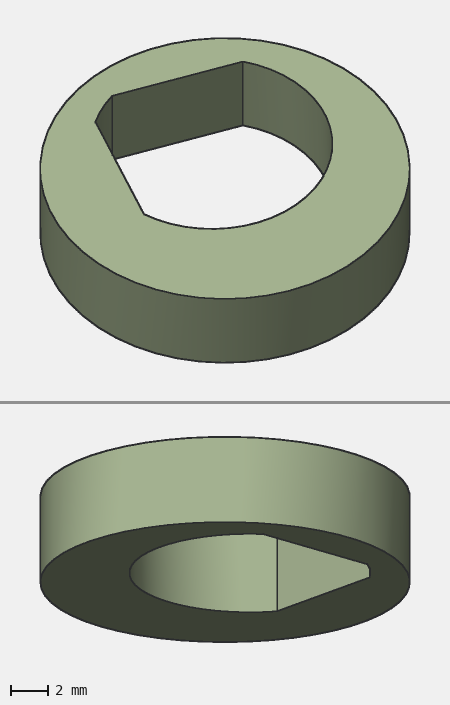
import cadquery as cq

outer_diameter = 19.8
thickness = 4.83

bore_diameter = 12.9
bore_offset_x = -2.0
flat_distance = 5.27


def double_d_bore():
    """Bore cylinder trimmed by the two perpendicular flats."""
    bore_radius = bore_diameter / 2
    cylinder = cq.Workplane("XY").circle(bore_radius).extrude(thickness)
    side = flat_distance + bore_radius
    flats = (
        cq.Workplane("XY")
        .rect(side, side, centered=False)
        .extrude(thickness)
        .translate((-flat_distance, -flat_distance, 0))
    )
    return cylinder.intersect(flats).translate((bore_offset_x, 0, 0))


ring = cq.Workplane("XY").circle(outer_diameter / 2).extrude(thickness)
result = ring.cut(double_d_bore())